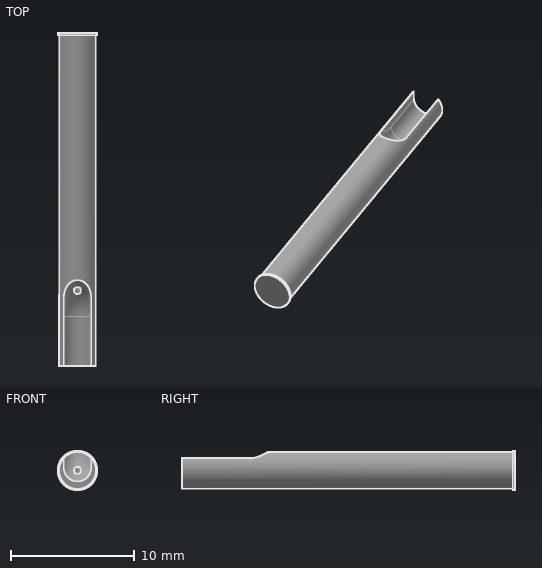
import cadquery as cq

length = 27.0
body_diameter = 3.0
flange_diameter = 3.2
flange_thickness = 0.2

trough_width = 2.21
trough_floor_z = -0.9
trough_straight_length = 4.02
trough_top_clearance = 0.27
ramp_radius = 3.0

hole_diameter = 0.57

trough_radius = trough_width / 2
trough_axis_z = trough_floor_z + trough_radius
trough_top_z = body_diameter / 2 + trough_top_clearance
ramp_center_z = trough_floor_z + ramp_radius
ramp_end_y = trough_straight_length + ramp_radius


def rod(diameter, start_y, end_y):
    """Round bar on the Y axis between two stations."""
    circle = cq.Workplane("XZ", origin=(0, start_y, 0)).circle(diameter / 2)
    return circle.extrude(start_y - end_y)


def trough_profile(start_y):
    """U-shaped section: two quarter arcs form the floor, below vertical walls that rise clear of the bar."""
    return (
        cq.Workplane("XZ", origin=(0, start_y, 0))
        .moveTo(-trough_radius, trough_top_z)
        .lineTo(-trough_radius, trough_axis_z)
        .radiusArc((0, trough_floor_z), -trough_radius)
        .radiusArc((trough_radius, trough_axis_z), -trough_radius)
        .lineTo(trough_radius, trough_top_z)
        .close()
    )


def trough():
    """Straight open channel whose floor curves up and out through the top of the bar."""
    channel = trough_profile(0).extrude(-trough_straight_length)
    ramp = trough_profile(trough_straight_length).revolve(
        90, (-0.27, ramp_center_z, 0), (0.27, ramp_center_z, 0)
    )
    return channel.union(ramp)


body = rod(body_diameter, 0, length)
flange = rod(flange_diameter, length - flange_thickness, length)
center_hole = rod(hole_diameter, trough_straight_length, ramp_end_y)

result = body.union(flange).cut(trough()).cut(center_hole)